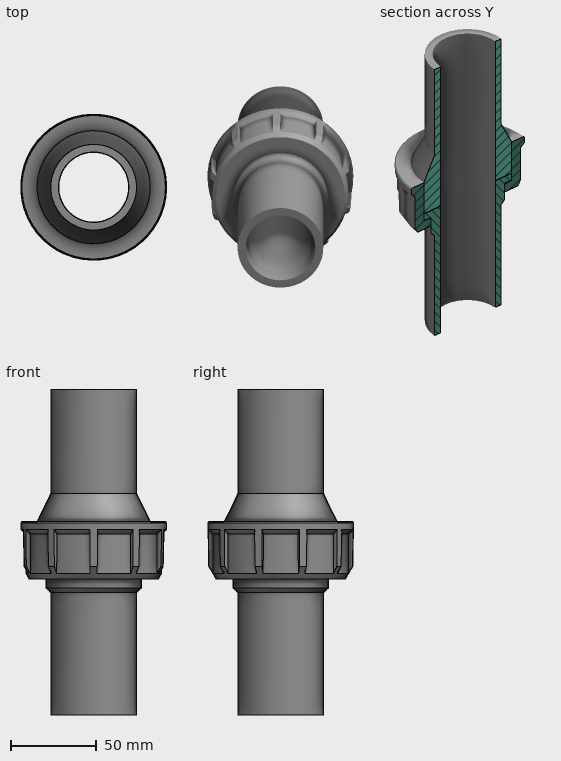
import cadquery as cq

total_height = 190.0
pipe_radius = 25.0
bore_radius = 20.4
shoulder_radius = 33.0
cone_height = 16.4

nut_bottom = 79.3
nut_height = 33.5
nut_top = nut_bottom + nut_height
nut_radius = 42.54
nut_top_chamfer = 0.7
nut_bottom_radius = 37.6
rib_foot_radius = 42.0
rib_foot_height = 7.5
rim_height = 4.5

collar_radius = 27.75
collar_bottom = 74.2
collar_chamfer = collar_radius - pipe_radius

shelf_thickness = 6.0
flange_thickness = 5.0
shelf_top = nut_bottom + shelf_thickness
joint_height = shelf_top + flange_thickness

rib_count = 10
rib_width_bottom = 4.0
rib_width_top = 4.7
pocket_floor_radius = 39.6
pocket_top = nut_top - rim_height
pocket_bevel_height = 2.7
cut_margin = 1.0


def revolve_profile(points):
    """Turn a closed (radius, height) outline around the Z axis."""
    return cq.Workplane("XZ").polyline(points).close().revolve(360, (0, 0, 0), (0, 1, 0))


def make_upper_end():
    """Pipe that widens through a cone to a shoulder inside the nut."""
    return revolve_profile([
        (bore_radius, joint_height),
        (shoulder_radius, joint_height),
        (shoulder_radius, nut_top),
        (pipe_radius, nut_top + cone_height),
        (pipe_radius, total_height),
        (bore_radius, total_height),
    ])


def make_lower_end():
    """Pipe with a chamfered collar and a flange held by the nut."""
    return revolve_profile([
        (bore_radius, 0),
        (pipe_radius, 0),
        (pipe_radius, collar_bottom - collar_chamfer),
        (collar_radius, collar_bottom),
        (collar_radius, shelf_top),
        (shoulder_radius, shelf_top),
        (shoulder_radius, joint_height),
        (bore_radius, joint_height),
    ])


def make_nut_blank():
    """Nut before the grip pockets are cut, with a slightly tapered outside."""
    return revolve_profile([
        (collar_radius, nut_bottom),
        (nut_bottom_radius, nut_bottom),
        (rib_foot_radius, nut_bottom + rib_foot_height),
        (nut_radius, nut_top - nut_top_chamfer),
        (nut_radius - nut_top_chamfer, nut_top),
        (shoulder_radius, nut_top),
        (shoulder_radius, shelf_top),
        (collar_radius, shelf_top),
    ])


def make_pocket_ring():
    """Ring outside the pocket floor, with a bevelled upper face under the rim."""
    bevel_slope = pocket_bevel_height / (nut_radius - pocket_floor_radius)
    outer_radius = nut_radius + cut_margin
    return revolve_profile([
        (pocket_floor_radius, nut_bottom),
        (outer_radius, nut_bottom),
        (outer_radius, pocket_top + bevel_slope * cut_margin),
        (pocket_floor_radius, pocket_top - pocket_bevel_height),
    ])


def make_rib_bar(angle):
    """Radial bar, wider at the top, that marks where one rib stays."""
    bar = (
        cq.Workplane("XZ")
        .polyline([
            (-rib_width_bottom / 2, nut_bottom),
            (rib_width_bottom / 2, nut_bottom),
            (rib_width_top / 2, nut_top),
            (-rib_width_top / 2, nut_top),
        ])
        .close()
        .extrude(nut_radius + 2 * cut_margin)
    )
    return bar.rotate((0, 0, 0), (0, 0, 1), angle)


def make_nut():
    pockets = make_pocket_ring()
    for index in range(rib_count):
        pockets = pockets.cut(make_rib_bar(index * 360 / rib_count))
    return make_nut_blank().cut(pockets)


upper_end = make_upper_end()
lower_end = make_lower_end()
nut = make_nut()

result = cq.Compound.makeCompound([upper_end.val(), lower_end.val(), *nut.vals()])